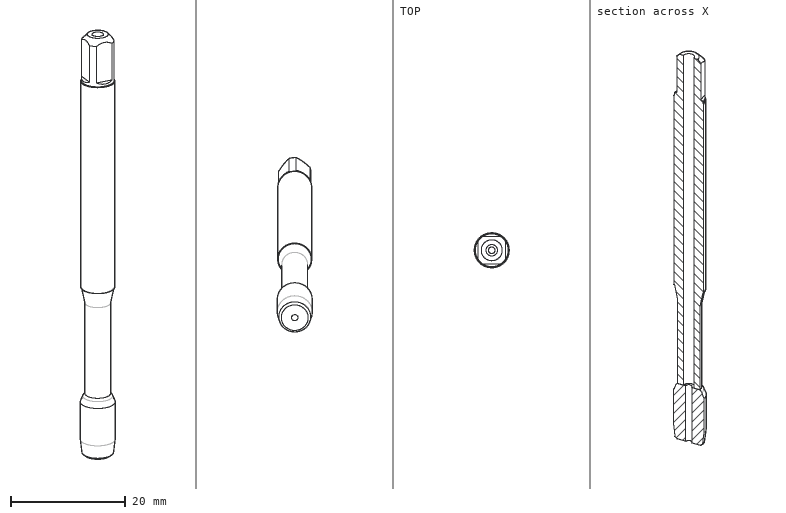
import cadquery as cq

TOTAL_LENGTH = 80.0

HEAD_DIAMETER = 6.2
LEAD_END_DIAMETER = 5.6
TIP_DIAMETER = 4.7
COLLAR_DIAMETER = 5.3
TIP_CHAMFER_HEIGHT = 0.4
LEAD_TOP = 2.9
SHOULDER_BOTTOM = 10.0
COLLAR_BOTTOM = 11.1
HEAD_TOP = 11.6

NECK_DIAMETER = 4.6
NECK_TOP = 28.9
TAPER_TOP_DIAMETER = 5.8
SHANK_DIAMETER = 6.0
SHANK_BOTTOM = 31.8
SHANK_TOP = 71.2

FLAT_COUNT = 4
DRIVE_DIAMETER = 5.8
DRIVE_WIDTH = 4.9
FLAT_BOTTOM = 71.6
FLAT_RUNOUT_HEIGHT = 0.3
DRIVE_TIP_DIAMETER = 3.7
DRIVE_CHAMFER_HEIGHT = 1.1
SHANK_CHAMFER = (SHANK_DIAMETER - DRIVE_DIAMETER) / 2

SHANK_BORE_DIAMETER = 2.0
HEAD_BORE_DIAMETER = 1.1


def turned_body(stations):
    """Revolve a solid about Z from (diameter, height) pairs listed from bottom to top."""
    outline = [(diameter / 2, height) for diameter, height in stations]
    bottom = stations[0][1]
    top = stations[-1][1]
    profile = cq.Workplane("XZ").polyline([(0, bottom), *outline, (0, top)]).close()
    return profile.revolve(360, (0, 0, 0), (0, 1, 0))


def bore(diameter, bottom, top):
    """Cylinder on the tool axis for cutting the coolant bore."""
    return cq.Workplane("XY").workplane(offset=bottom).circle(diameter / 2).extrude(top - bottom)


def make_cutting_head():
    """Head with a tapered lead, a chamfered tip and a conical shoulder below the neck."""
    blank = turned_body([
        (TIP_DIAMETER, 0),
        (LEAD_END_DIAMETER, TIP_CHAMFER_HEIGHT),
        (HEAD_DIAMETER, LEAD_TOP),
        (HEAD_DIAMETER, SHOULDER_BOTTOM),
        (COLLAR_DIAMETER, COLLAR_BOTTOM),
        (NECK_DIAMETER, HEAD_TOP),
    ])
    return blank.cut(bore(HEAD_BORE_DIAMETER, 0, HEAD_TOP))


def cut_drive_flats(blank):
    """Grind four flats on the top end, each running out at its bottom in a slope."""
    flat_radius = DRIVE_WIDTH / 2
    waste = (
        cq.Workplane("XZ")
        .moveTo(flat_radius, TOTAL_LENGTH)
        .lineTo(flat_radius, FLAT_BOTTOM + FLAT_RUNOUT_HEIGHT)
        .lineTo(DRIVE_DIAMETER / 2, FLAT_BOTTOM)
        .lineTo(SHANK_DIAMETER, FLAT_BOTTOM)
        .lineTo(SHANK_DIAMETER, TOTAL_LENGTH)
        .close()
        .extrude(SHANK_DIAMETER, both=True)
    )
    for side in range(FLAT_COUNT):
        blank = blank.cut(waste.rotate((0, 0, 0), (0, 0, 1), side * 360 / FLAT_COUNT))
    return blank


def make_shank():
    """Neck, taper, cylindrical shank and square drive, bored along the axis."""
    blank = turned_body([
        (NECK_DIAMETER, HEAD_TOP),
        (NECK_DIAMETER, NECK_TOP),
        (TAPER_TOP_DIAMETER, SHANK_BOTTOM),
        (SHANK_DIAMETER, SHANK_BOTTOM),
        (SHANK_DIAMETER, SHANK_TOP - SHANK_CHAMFER),
        (DRIVE_DIAMETER, SHANK_TOP),
        (DRIVE_DIAMETER, TOTAL_LENGTH - DRIVE_CHAMFER_HEIGHT),
        (DRIVE_TIP_DIAMETER, TOTAL_LENGTH),
    ])
    return cut_drive_flats(blank).cut(bore(SHANK_BORE_DIAMETER, HEAD_TOP, TOTAL_LENGTH))


cutting_head = make_cutting_head()
shank = make_shank()
result = cq.Compound.makeCompound([cutting_head.val(), shank.val()])